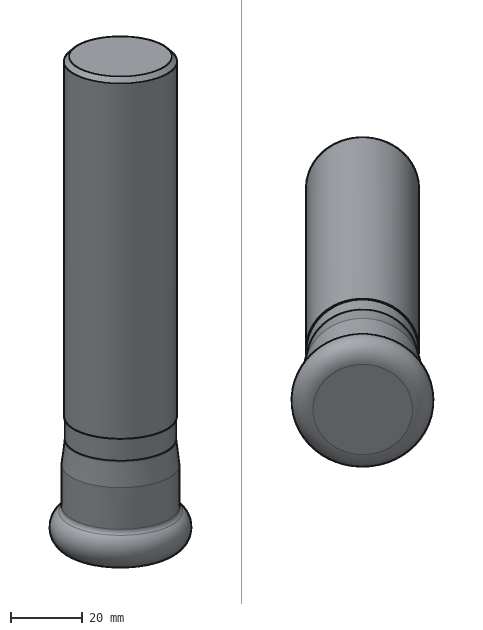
import cadquery as cq
import math

total_height = 150.0
shank_bottom = 39.6
neck_bottom = 33.0
taper_top = 32.7
taper_bottom = 25.2
collar_bottom = 12.5

shank_radius = 32.0 / 2
neck_radius = 31.5 / 2
tip_chamfer = 1.5
shank_end_chamfer = shank_radius - neck_radius

collar_radius = 33.3 / 2
flange_radius = 40.0 / 2
flange_round = 6.0
flange_flat_radius = flange_radius - flange_round

root_dx = collar_radius - flange_flat_radius
root_dz = collar_bottom - flange_round
root_fillet = (root_dx**2 + root_dz**2 - flange_round**2) / (2 * (flange_round - root_dx))


def make_shank():
    """Long cylinder, chamfered at both ends, with a slightly narrower neck below it."""
    neck = cq.Workplane("XY").workplane(offset=neck_bottom).circle(neck_radius)
    neck = neck.extrude(shank_bottom - neck_bottom)
    rod = cq.Workplane("XY").workplane(offset=shank_bottom).circle(shank_radius)
    rod = rod.extrude(total_height - shank_bottom)
    rod = rod.faces(">Z").chamfer(tip_chamfer)
    rod = rod.faces("<Z").chamfer(shank_end_chamfer)
    return rod.union(neck)


def make_head():
    """Short neck land and tapered collar above a rounded flange, revolved about Z."""
    root_angle = math.atan2(root_dz, root_dx + root_fillet)
    fillet_centre_x = collar_radius + root_fillet
    fillet_mid_angle = (math.pi + math.pi + root_angle) / 2
    fillet_mid = (
        fillet_centre_x + root_fillet * math.cos(fillet_mid_angle),
        collar_bottom + root_fillet * math.sin(fillet_mid_angle),
    )
    fillet_end = (
        flange_flat_radius + flange_round * math.cos(root_angle),
        flange_round + flange_round * math.sin(root_angle),
    )
    profile = (
        cq.Workplane("XZ")
        .moveTo(0, neck_bottom)
        .lineTo(neck_radius, neck_bottom)
        .lineTo(neck_radius, taper_top)
        .lineTo(collar_radius, taper_bottom)
        .lineTo(collar_radius, collar_bottom)
        .threePointArc(fillet_mid, fillet_end)
        .threePointArc((flange_radius, flange_round), (flange_flat_radius, 0))
        .lineTo(0, 0)
        .close()
    )
    return profile.revolve(360, (0, 0, 0), (0, 1, 0))


shank = make_shank()
head = make_head()

result = cq.Compound.makeCompound([shank.val(), head.val()])